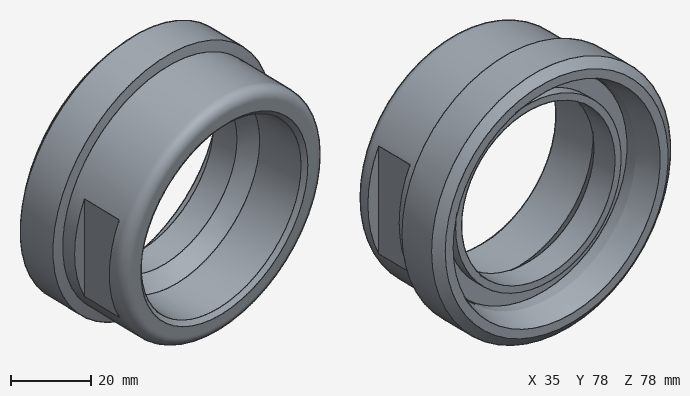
import cadquery as cq

length = 35.0
flange_diameter = 78.0
body_diameter = 72.0

front_chamfer_length = 2.1
front_chamfer_height = 2.65
flange_length = 13.5
shoulder_length = 0.5
rear_fillet = 3.0

mouth_diameter = 67.55
mouth_floor_diameter = 63.8
taper_depth = 7.0
floor_depth = 10.5
lip_diameter = 54.0
lip_start = 7.0

bore_diameter = 50.0
bore_end = 15.1
rear_bore_diameter = 57.0
rear_mouth_diameter = 59.6
rear_cone_end = 19.6
rear_chamfer_length = 1.1

flat_start = 18.1
flat_width = 12.0
across_flats = 65.0


def make_ring():
    """Revolve the wall section about the X axis."""
    flange_radius = flange_diameter / 2
    body_radius = body_diameter / 2
    bore_radius = bore_diameter / 2
    lip_radius = lip_diameter / 2
    floor_radius = mouth_floor_diameter / 2
    rear_bore_radius = rear_bore_diameter / 2
    rear_mouth_radius = rear_mouth_diameter / 2
    section = (
        cq.Workplane("XY")
        .moveTo(0, mouth_diameter / 2)
        .lineTo(0, flange_radius - front_chamfer_height)
        .lineTo(front_chamfer_length, flange_radius)
        .lineTo(flange_length, flange_radius)
        .lineTo(flange_length + shoulder_length, body_radius)
        .lineTo(length - rear_fillet, body_radius)
        .tangentArcPoint((length, body_radius - rear_fillet), relative=False)
        .lineTo(length, rear_mouth_radius)
        .lineTo(length - rear_chamfer_length, rear_bore_radius)
        .lineTo(rear_cone_end, rear_bore_radius)
        .lineTo(bore_end, bore_radius)
        .lineTo(lip_start, bore_radius)
        .lineTo(lip_start, lip_radius)
        .lineTo(floor_depth, lip_radius)
        .lineTo(floor_depth, floor_radius)
        .lineTo(taper_depth, floor_radius)
        .close()
    )
    return section.revolve(360, (0, 0, 0), (1, 0, 0))


def make_flat_cutter(side):
    """Block that cuts one flat; side is -1 or +1 along Y."""
    block_depth = flange_diameter - across_flats
    center_y = side * (across_flats + block_depth) / 2
    return (
        cq.Workplane("XY")
        .box(flat_width, block_depth, flange_diameter)
        .translate((flat_start + flat_width / 2, center_y, 0))
    )


result = make_ring()
for side in (-1, 1):
    result = result.cut(make_flat_cutter(side))